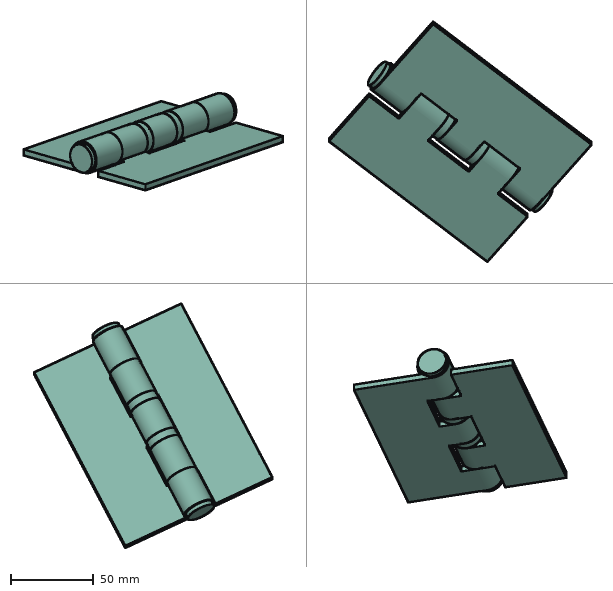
import cadquery as cq

hinge_length = 131.0
open_width = 100.0
barrel_diameter = 20.0
pin_diameter = 18.0
bearing_diameter = 19.6
leaf_thickness = 3.9
leaf_length = 125.0
right_leaf_clearance = 1.3
end_knuckle_length = 23.5
inner_knuckle_length = 23.0
bearing_length = 5.2

leaf_end = leaf_length / 2
inner_knuckle_end = leaf_end - end_knuckle_length
inner_knuckle_start = inner_knuckle_end - inner_knuckle_length
middle_knuckle_end = inner_knuckle_start - bearing_length

barrel_radius = barrel_diameter / 2
left_slot_reach = barrel_radius
right_slot_reach = barrel_radius + right_leaf_clearance

left_knuckles = [
    (-leaf_end, -inner_knuckle_end),
    (-middle_knuckle_end, middle_knuckle_end),
    (inner_knuckle_end, leaf_end),
]
right_knuckles = [
    (-inner_knuckle_end, -inner_knuckle_start),
    (inner_knuckle_start, inner_knuckle_end),
]


def cylinder(diameter, start, end):
    """Cylinder on the hinge axis between two Y stations."""
    return (
        cq.Workplane("XZ", origin=(0, start, 0))
        .circle(diameter / 2)
        .extrude(start - end)
    )


def plate(inner_x, outer_x, start, end):
    """Flat stretch of leaf whose underside is level with the bottom of the barrel."""
    return cq.Workplane("XY").box(
        outer_x - inner_x, end - start, leaf_thickness, centered=False
    ).translate((inner_x, start, -barrel_radius))


def make_leaf(knuckles, slot_reach):
    """Leaf on the +X side, with a tab running under each knuckle and a bore for the pin."""
    leaf = plate(slot_reach, open_width / 2, -leaf_end, leaf_end)
    for start, end in knuckles:
        leaf = leaf.union(plate(0, slot_reach, start, end))
        leaf = leaf.union(cylinder(barrel_diameter, start, end))
    return leaf.cut(cylinder(pin_diameter, -leaf_end, leaf_end))


def make_bearing(start):
    """Ring around the pin, filling the space between two knuckles."""
    end = start + bearing_length
    return cylinder(bearing_diameter, start, end).cut(cylinder(pin_diameter, start, end))


left_leaf = make_leaf(left_knuckles, left_slot_reach).mirror("YZ")
right_leaf = make_leaf(right_knuckles, right_slot_reach)
pin = cylinder(pin_diameter, -hinge_length / 2, hinge_length / 2)
bearings = [make_bearing(start) for start in (-inner_knuckle_start, middle_knuckle_end)]

result = cq.Compound.makeCompound([
    left_leaf.solids().val(),
    right_leaf.solids().val(),
    pin.val(),
    *[bearing.solids().val() for bearing in bearings],
])